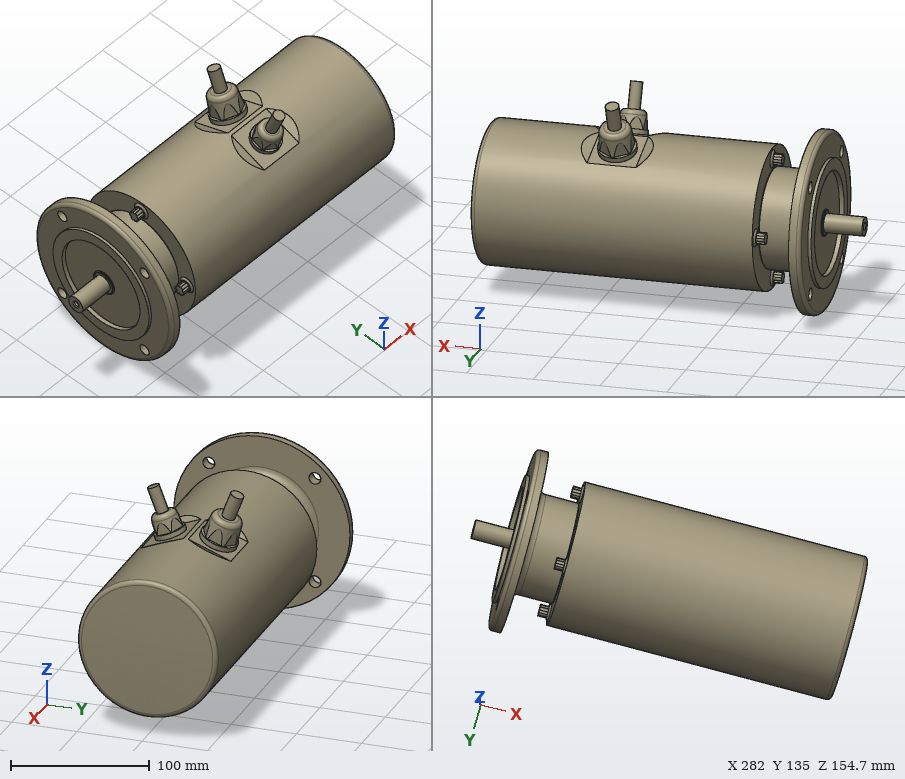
import cadquery as cq
import math


shaft_diameter = 14.0
centre_hole_mouth_diameter = 5.8
centre_hole_bore_diameter = 4.5
centre_hole_mouth_depth = 1.0
centre_hole_bore_depth = 3.0
centre_hole_tip_diameter = 3.43
centre_hole_depth = 10.0

spigot_diameter = 95.0
spigot_length = 2.5
spigot_face_x = 26.5
spigot_recess_diameter = 77.0
spigot_recess_depth = 3.5
recess_floor_x = spigot_face_x + spigot_recess_depth
collar_diameter = 20.0
collar_height = 0.6
collar_tip_diameter = 18.0
collar_tip_height = 1.2
flange_diameter = 135.0
flange_face_x = spigot_face_x + spigot_length
flange_thickness = 8.7
flange_back_x = flange_face_x + flange_thickness
flange_edge_fillet = 3.0
flange_hole_diameter = 9.0
flange_hole_circle = 115.0
flange_hole_count = 4
flange_hole_start_angle = 45.0

neck_diameter = 75.0
neck_fillet = 6.0
neck_chamfer = 0.7

housing_diameter = 107.0
housing_radius = housing_diameter / 2
housing_front_x = 69.0
overall_length = 282.0
rear_dome_height = 1.5
housing_back_x = overall_length - rear_dome_height
housing_rear_fillet = 3.2

screw_circle = 90.0
screw_count = 4
screw_base_diameter = 13.5
screw_collar_diameter = 10.0
screw_collar_height = 1.5
screw_total_height = 7.7
screw_head_diameter = 8.7
screw_groove_diameter = 2.0
screw_groove_count = 6
screw_groove_start_angle = 180.0 / screw_groove_count

gland_x = 180.0
gland_tilt = 21.0
flat_width = 35.0
flat_distance = math.sqrt(housing_radius**2 - (flat_width / 2) ** 2)
flat_length = 36.5
flat_ramp_angle = 20.0


def x_axis_cylinder(diameter, start_x, length):
    return cq.Workplane("YZ", origin=(start_x, 0, 0)).circle(diameter / 2).extrude(length)


def make_turned_body():
    """Spigot, flange, neck, housing and domed rear end turned in one profile about X."""
    spigot_radius = spigot_diameter / 2
    flange_radius = flange_diameter / 2
    neck_radius = neck_diameter / 2
    rim_radius = housing_radius - housing_rear_fillet
    dome_sphere_radius = (rim_radius**2 + rear_dome_height**2) / (2 * rear_dome_height)
    dome_middle_radius = rim_radius / 2
    dome_middle_sag = dome_sphere_radius - math.sqrt(dome_sphere_radius**2 - dome_middle_radius**2)
    dome_middle_x = overall_length - dome_middle_sag
    arc_middle = 1 - math.sqrt(0.5)
    return (
        cq.Workplane("XY")
        .moveTo(spigot_face_x, 0)
        .lineTo(spigot_face_x, spigot_radius)
        .lineTo(flange_face_x, spigot_radius)
        .lineTo(flange_face_x, flange_radius - flange_edge_fillet)
        .threePointArc(
            (
                flange_face_x + arc_middle * flange_edge_fillet,
                flange_radius - arc_middle * flange_edge_fillet,
            ),
            (flange_face_x + flange_edge_fillet, flange_radius),
        )
        .lineTo(flange_back_x, flange_radius)
        .lineTo(flange_back_x, neck_radius + neck_fillet)
        .threePointArc(
            (flange_back_x + arc_middle * neck_fillet, neck_radius + arc_middle * neck_fillet),
            (flange_back_x + neck_fillet, neck_radius),
        )
        .lineTo(housing_front_x - neck_chamfer, neck_radius)
        .lineTo(housing_front_x, neck_radius - neck_chamfer)
        .lineTo(housing_front_x, housing_radius)
        .lineTo(housing_back_x - housing_rear_fillet, housing_radius)
        .threePointArc(
            (
                housing_back_x - arc_middle * housing_rear_fillet,
                housing_radius - arc_middle * housing_rear_fillet,
            ),
            (housing_back_x, rim_radius),
        )
        .threePointArc((dome_middle_x, dome_middle_radius), (overall_length, 0))
        .close()
        .revolve(360, (0, 0, 0), (1, 0, 0))
    )


def make_front_recess():
    """Recess in the spigot face, leaving a stepped collar around the shaft on its floor."""
    recess = x_axis_cylinder(spigot_recess_diameter, spigot_face_x, spigot_recess_depth)
    for diameter, height in ((collar_diameter, collar_height), (collar_tip_diameter, collar_tip_height)):
        recess = recess.cut(x_axis_cylinder(diameter, recess_floor_x - height, height))
    return recess


def make_shaft():
    shaft = x_axis_cylinder(shaft_diameter, 0, recess_floor_x)
    mouth = (
        cq.Workplane("YZ")
        .circle(centre_hole_mouth_diameter / 2)
        .workplane(offset=centre_hole_mouth_depth)
        .circle(centre_hole_bore_diameter / 2)
        .loft()
    )
    bore = x_axis_cylinder(centre_hole_bore_diameter, 0, centre_hole_bore_depth)
    tip = x_axis_cylinder(centre_hole_tip_diameter, 0, centre_hole_depth)
    return shaft.cut(mouth).cut(bore).cut(tip)


def make_flange_holes():
    return (
        cq.Workplane("YZ", origin=(flange_face_x, 0, 0))
        .polarArray(flange_hole_circle / 2, flange_hole_start_angle, 360, flange_hole_count)
        .circle(flange_hole_diameter / 2)
        .extrude(flange_thickness)
    )


def make_screw_head():
    """Screw head on the motor axis: a conical collar behind a six-lobe drive."""
    collar = (
        cq.Workplane("YZ", origin=(housing_front_x, 0, 0))
        .circle(screw_base_diameter / 2)
        .workplane(offset=-screw_collar_height)
        .circle(screw_collar_diameter / 2)
        .loft()
    )
    drive_length = screw_total_height - screw_collar_height
    drive_start_x = housing_front_x - screw_total_height
    drive = x_axis_cylinder(screw_head_diameter, drive_start_x, drive_length)
    grooves = (
        cq.Workplane("YZ", origin=(drive_start_x, 0, 0))
        .polarArray(screw_head_diameter / 2, screw_groove_start_angle, 360, screw_groove_count)
        .circle(screw_groove_diameter / 2)
        .extrude(drive_length)
    )
    return collar.union(drive.cut(grooves))


def make_flat_cutter(tilt):
    """Ramp-ended cutter that leaves a flat facing outwards, tilted about the motor axis."""
    cut_height = housing_radius
    ramp_run = cut_height / math.tan(math.radians(flat_ramp_angle))
    half_length = flat_length / 2
    return (
        cq.Workplane("XZ", origin=(gland_x, 0, flat_distance))
        .polyline(
            [
                (-half_length, 0),
                (half_length, 0),
                (half_length + ramp_run, cut_height),
                (-half_length - ramp_run, cut_height),
            ]
        )
        .close()
        .extrude(housing_radius, both=True)
        .rotate((0, 0, 0), (1, 0, 0), tilt)
    )


def make_motor():
    motor = make_turned_body().cut(make_front_recess()).cut(make_flange_holes()).union(make_shaft())
    for index in range(screw_count):
        angle = math.radians(360 / screw_count * index)
        offset = (0, screw_circle / 2 * math.cos(angle), screw_circle / 2 * math.sin(angle))
        motor = motor.union(make_screw_head().translate(offset))
    for tilt in (-gland_tilt, gland_tilt):
        motor = motor.cut(make_flat_cutter(tilt))
    return motor


def make_gland(
    tilt,
    base_diameter,
    base_height,
    nut_diameter,
    nut_across_flats,
    dome_diameter,
    dome_start,
    dome_top_diameter,
    cable_diameter,
    cable_end,
):
    """Cable gland with its cable; heights are measured outwards from the flat."""
    dome_radius = dome_diameter / 2
    dome_fillet = (dome_diameter - dome_top_diameter) / 2
    dome_top = dome_start + dome_fillet
    arc_offset = dome_fillet * math.sqrt(0.5)
    base = cq.Workplane("XY").circle(base_diameter / 2).extrude(base_height)
    cap = (
        cq.Workplane("XZ")
        .moveTo(0, base_height)
        .lineTo(nut_diameter / 2, base_height)
        .lineTo(dome_radius, dome_start)
        .threePointArc(
            (dome_radius - dome_fillet + arc_offset, dome_start + arc_offset),
            (dome_radius - dome_fillet, dome_top),
        )
        .lineTo(0, dome_top)
        .close()
        .revolve(360, (0, 0, 0), (0, 1, 0))
    )
    hexagon_half_step = 180 / 6
    across_corners = nut_across_flats / math.cos(math.radians(hexagon_half_step))
    hexagon = (
        cq.Workplane("XY")
        .polygon(6, across_corners)
        .extrude(dome_top)
        .rotate((0, 0, 0), (0, 0, 1), hexagon_half_step)
    )
    cable = cq.Workplane("XY").circle(cable_diameter / 2).extrude(cable_end)
    gland = base.union(cap.intersect(hexagon)).union(cable)
    return gland.translate((gland_x, 0, flat_distance)).rotate((0, 0, 0), (1, 0, 0), tilt)


motor = make_motor()

large_gland = make_gland(
    tilt=-gland_tilt,
    base_diameter=28.5,
    base_height=4.0,
    nut_diameter=26.5,
    nut_across_flats=24.0,
    dome_diameter=23.5,
    dome_start=18.0,
    dome_top_diameter=16.0,
    cable_diameter=10.0,
    cable_end=40.94,
)

small_gland = make_gland(
    tilt=gland_tilt,
    base_diameter=24.0,
    base_height=3.7,
    nut_diameter=23.0,
    nut_across_flats=20.0,
    dome_diameter=19.5,
    dome_start=14.0,
    dome_top_diameter=11.8,
    cable_diameter=9.0,
    cable_end=38.0,
)

result = cq.Compound.makeCompound([motor.val(), large_gland.val(), small_gland.val()])